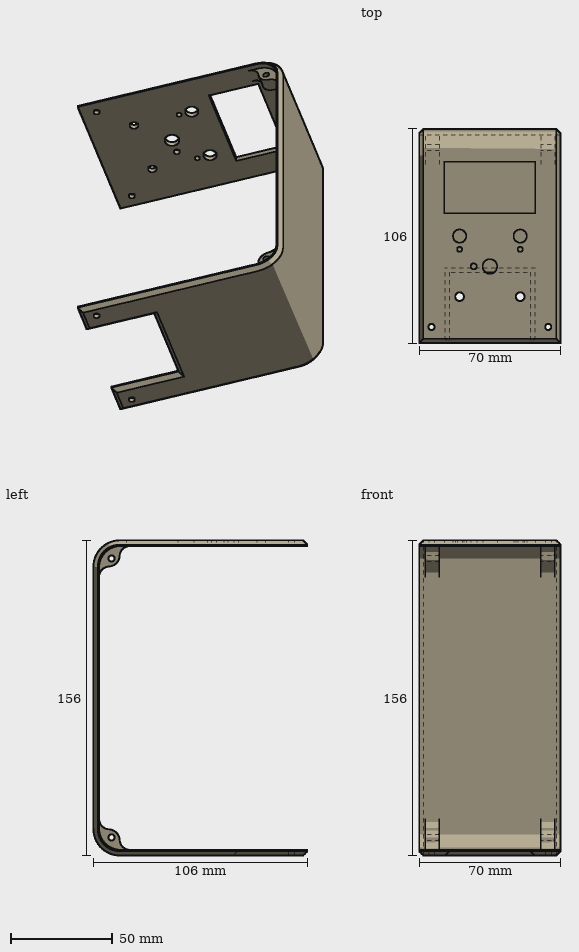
import cadquery as cq
import math

width = 70.0
depth = 106.0
height = 156.0

wall = 3.0
edge_chamfer = 2.2
bend_radius = 13.3

lug_width = 7.0
lug_inset = 3.0
lug_boss_offset = 7.5
lug_boss_radius = 5.6
lug_blend_radius = 5.0
lug_hole_offset = 9.0
lug_hole_diameter = 3.0

window_width = 45.0
window_length = 25.6
window_back_gap = 16.2
grid_pitch = 15.0
first_row = 53.0
button_diameter = 6.5
pin_row = first_row + 6.5
pin_diameter = 2.5
center_hole_diameter = 7.2
side_pin_x = -8.0
side_pin_diameter = 3.0
large_screw_diameter = 4.2

corner_screw_x = 28.9
corner_screw_diameter = 3.0

notch_side_margin = 15.0
notch_length = 35.0


def side_block(inset, start_x, end_x):
    """Side outline moved inward on the top, back and bottom, extruded along X."""
    return (
        cq.Workplane("YZ", origin=(start_x, 0, 0))
        .moveTo(0, inset)
        .lineTo(depth - inset, inset)
        .lineTo(depth - inset, height - inset)
        .lineTo(0, height - inset)
        .close()
        .extrude(end_x - start_x)
        .edges("|X and >Y")
        .fillet(bend_radius - inset)
    )


def bent_sheet():
    """Chamfered block hollowed out, open at the front and both sides."""
    outer = side_block(0, -width / 2, width / 2)
    side_edges = outer.faces("<X or >X").edges("not (|Z and <Y)")
    front_edges = outer.faces("<Y").edges("|X")
    chamfered = side_edges.add(front_edges).chamfer(edge_chamfer)
    return chamfered.cut(side_block(wall, -width / 2, width / 2))


def screw_lug(start_x):
    """Lug in the upper bend: a round boss blended into the back and top walls."""
    blend_rise = wall + lug_blend_radius
    center_gap = lug_boss_radius + lug_blend_radius
    foot = lug_boss_offset + math.sqrt(center_gap**2 - (lug_boss_offset - blend_rise) ** 2)
    boss_share = lug_boss_radius / center_gap
    tangent_far = lug_boss_offset + boss_share * (foot - lug_boss_offset)
    tangent_near = lug_boss_offset + boss_share * (blend_rise - lug_boss_offset)
    boss_tip = lug_boss_offset + lug_boss_radius / math.sqrt(2)

    end_angle = math.pi + math.asin((blend_rise - lug_boss_offset) / center_gap)
    foot_angle = 3 * math.pi / 2
    middle_angle = (end_angle + foot_angle) / 2
    middle_far = foot + lug_blend_radius * math.cos(middle_angle)
    middle_near = blend_rise + lug_blend_radius * math.sin(middle_angle)

    def at(from_back, from_top):
        return (depth - from_back, height - from_top)

    embed = wall / 2
    lug = (
        cq.Workplane("YZ", origin=(start_x, 0, 0))
        .moveTo(*at(embed, embed))
        .lineTo(*at(foot, embed))
        .lineTo(*at(foot, wall))
        .threePointArc(at(middle_far, middle_near), at(tangent_far, tangent_near))
        .threePointArc(at(boss_tip, boss_tip), at(tangent_near, tangent_far))
        .threePointArc(at(middle_near, middle_far), at(wall, foot))
        .lineTo(*at(embed, foot))
        .close()
        .extrude(lug_width)
    )
    hole = (
        cq.Workplane("YZ", origin=(start_x, 0, 0))
        .center(*at(lug_hole_offset, lug_hole_offset))
        .circle(lug_hole_diameter / 2)
        .extrude(lug_width)
    )
    return lug.intersect(side_block(embed, -width / 2, width / 2)).cut(hole)


def plate_holes(points, diameter, bottom=height - wall):
    """Vertical drills from the given level up; points are (X, distance from back)."""
    return (
        cq.Workplane("XY", origin=(0, 0, bottom))
        .pushPoints([(x, depth - from_back) for x, from_back in points])
        .circle(diameter / 2)
        .extrude(height - bottom)
    )


def mirrored(x, from_back):
    """Pair of hole positions on both sides of the centre plane."""
    return [(-x, from_back), (x, from_back)]


result = bent_sheet()

for lug_start in (-width / 2 + lug_inset, width / 2 - lug_inset - lug_width):
    upper_lug = screw_lug(lug_start)
    lower_lug = upper_lug.mirror("XY", (0, 0, height / 2))
    result = result.union(upper_lug).union(lower_lug)

window = (
    cq.Workplane("XY", origin=(0, 0, height - wall))
    .center(0, depth - window_back_gap - window_length / 2)
    .rect(window_width, window_length)
    .extrude(wall)
)
result = result.cut(window)

center_row = first_row + grid_pitch
large_screw_row = first_row + 2 * grid_pitch
corner_screw_row = first_row + 3 * grid_pitch
result = result.cut(plate_holes(mirrored(grid_pitch, first_row), button_diameter))
result = result.cut(plate_holes(mirrored(grid_pitch, pin_row), pin_diameter))
result = result.cut(plate_holes([(0, center_row)], center_hole_diameter))
result = result.cut(plate_holes([(side_pin_x, center_row)], side_pin_diameter))
result = result.cut(plate_holes(mirrored(grid_pitch, large_screw_row), large_screw_diameter))
corner_screws = mirrored(corner_screw_x, corner_screw_row)
result = result.cut(plate_holes(corner_screws, corner_screw_diameter, bottom=0))

notch_width = width - 2 * notch_side_margin
flare_bottom_width = notch_width + 2 * edge_chamfer
notch = cq.Workplane("XY").rect(notch_width, 2 * notch_length).extrude(wall)
flare = (
    cq.Workplane("XY")
    .rect(flare_bottom_width, 2 * (notch_length + edge_chamfer))
    .workplane(offset=edge_chamfer)
    .rect(notch_width, 2 * notch_length)
    .loft(ruled=True)
)
result = result.cut(notch).cut(flare)